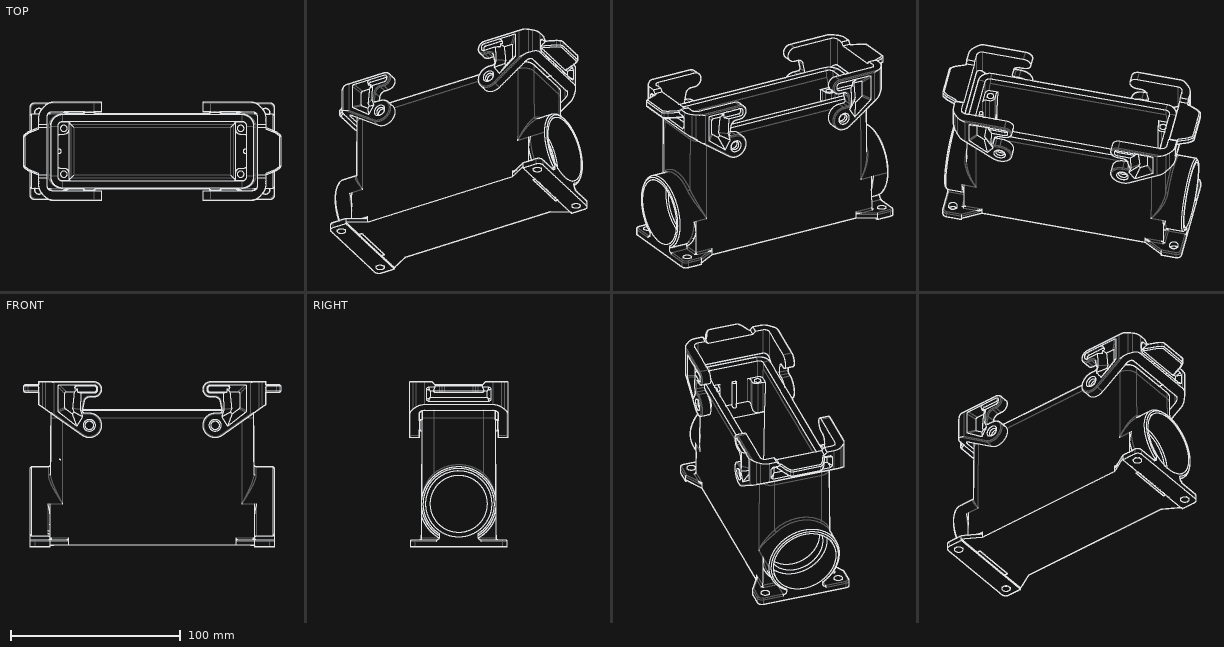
import cadquery as cq
import math

overall_length = 151.5
overall_width = 58.07

body_length = 120.4
body_width = 44.2
body_bottom = 1.0
draft = 0.4
draft_slope = math.tan(math.radians(draft))
lip_bottom = 75.7
corner_radius = 7.4
lip_straight_top = 80.2
lip_crown = 0.6
shrink = (lip_bottom - body_bottom) * draft_slope
lip_length = body_length - 2 * shrink
lip_width = body_width - 2 * shrink
lip_radius = corner_radius - shrink
wall = 4.1

opening_length = lip_length - 2 * wall
opening_width = lip_width - 2 * wall
opening_radius = lip_radius - wall
floor_z = 4.0
cavity_draft = 1.4
floor_fillet = 1.8
chamber_half_length = 48.9
shelf_edge_z = 47.5
shelf_slope = 36.0
chamber_end_run = 1.1

boss_top = 68.8
boss_hole_x = 52.0
boss_hole_y = 13.5
boss_hole_diameter = 3.8
boss_hole_depth = 15.0
boss_inner_x = 49.1
boss_inner_y = 10.0
boss_radius = 2.7
boss_root_fillet = 1.5
rib_radius = 1.3
rib_reach = 0.7

gland_end = 72.0
gland_z = 25.3
gland_radius = body_width / 2 - (gland_z - body_bottom) * draft_slope
gland_root = body_length / 2 - corner_radius
gland_fillet = 1.2
mouth_chamfer = 1.0
bore_radius = 19.5
bore_bottom_x = 56.0
inner_bore_radius = 16.8
inner_bore_bottom_x = 50.0

foot_half_width = 28.5
foot_thickness = 4.1
foot_radius = 2.9
foot_edge = 0.8
gusset_tip_x = 49.2
foot_hole_x = 66.6
foot_hole_y = 22.7
foot_hole_diameter = 5.0
neck_half_width = 11.2
neck_fillet = 2.0
root_fillet = 1.0

lever_top = 97.2
lever_outer_x = 66.8
lever_half_width = overall_width / 2
lever_leg = 5.8
lever_web = 4.9
lever_corner_cut = 6.0
lever_corner_blend = 7.24
lever_inner_radius = 3.0
lever_heel_z = 83.7
pivot_x = 37.0
pivot_z = 71.5
pivot_radius = 7.2
hook_x = 34.3
hook_radius = 4.5
hook_z = lever_top - hook_radius
lever_edge = 0.6
throat_round = 3.4
throat_foot_round = 1.3
throat_lean = 1.0
throat_x = 41.1
pin_radius = 3.4
pin_socket_radius = 2.5
pin_socket_depth = 3.0
countersink_radius = 3.5
pin_neck_radius = 2.6
pin_waist_width = 0.5

handle_end = overall_length / 2
handle_top = 95.4
handle_bottom = 90.8
handle_root_half_width = 15.0
handle_tip_half_width = 11.4
handle_shoulder_x = 73.0
handle_edge = 0.8
handle_corner_cut = 2.0
handle_tip_radius = 2.0
notch_half_width = 14.0
notch_slope = 1.7
web_pocket_half_width = 19.1
web_pocket_top = 94.1
web_pocket_bottom = 85.5
web_pocket_corner = 1.2
web_pocket_depth = 2.5
web_pocket_taper = 45.0

side_pocket_depth = 3.5
pocket_corner = 1.5
side_pocket_rim = [
    (-55.5, 79.6), (-55.5, 95.2), (-41.5, 95.2), (-42.3, 81.0), (-40.9, 76.5), (-44.4, 71.0),
]
side_pocket_floor = [
    (-51.5, 81.5), (-51.5, 91.2), (-45.8, 91.2), (-46.8, 81.4), (-46.0, 79.3), (-47.0, 78.2),
]
arm_pocket_depth = 2.0
arm_pocket_start_x = 46.0
arm_pocket_end_x = 32.2
arm_pocket_z = (90.5, 95.2)
arm_pocket_radius = 1.8
arm_pocket_taper = 15.0


def box(x_range, y_range, z_range):
    """Block filling the given X, Y and Z ranges."""
    (x0, x1), (y0, y1), (z0, z1) = x_range, y_range, z_range
    return cq.Workplane("XY").box(x1 - x0, y1 - y0, z1 - z0, centered=False).translate((x0, y0, z0))


def rod(radius, x0, x1):
    """Cylinder on the gland axis between two X positions."""
    return cq.Workplane("YZ", origin=(x0, 0, gland_z)).circle(radius).extrude(x1 - x0)


def both_ends(shape):
    """Shape together with its mirror image at the +X end."""
    return shape.union(shape.mirror("YZ"))


def both_sides(shape):
    """Shape together with its mirror image on the other Y side."""
    return shape.union(shape.mirror("XZ"))


def rounded_block(length, width, radius, z0, z1, taper=0.0):
    """Centred block with rounded vertical corners between two heights."""
    return (
        cq.Workplane("XY", origin=(0, 0, z0))
        .sketch().rect(length, width).vertices().fillet(radius).finalize()
        .extrude(z1 - z0, taper=taper)
    )


def make_rim():
    """Domed strip swept along the middle of the top of the lip."""
    end_x = (lip_length - wall) / 2
    side_y = (lip_width - wall) / 2
    radius = lip_radius - wall / 2
    inset = radius * (1 - math.sqrt(0.5))
    path = (
        cq.Workplane("XY", origin=(0, 0, lip_straight_top))
        .moveTo(0, -side_y).lineTo(end_x - radius, -side_y)
        .threePointArc((end_x - inset, -side_y + inset), (end_x, -side_y + radius))
        .lineTo(end_x, side_y - radius)
        .threePointArc((end_x - inset, side_y - inset), (end_x - radius, side_y))
        .lineTo(-end_x + radius, side_y)
        .threePointArc((-end_x + inset, side_y - inset), (-end_x, side_y - radius))
        .lineTo(-end_x, -side_y + radius)
        .threePointArc((-end_x + inset, -side_y + inset), (-end_x + radius, -side_y)).close()
    )
    profile = (
        cq.Workplane("YZ", origin=(0, -side_y, lip_straight_top))
        .moveTo(-wall / 2, 0).threePointArc((0, lip_crown), (wall / 2, 0)).close()
    )
    return profile.sweep(path)


def make_shell():
    """Solid outside of the housing: rounded above the gland axis, square-cornered below it."""
    drafted = rounded_block(body_length, body_width, corner_radius, body_bottom, lip_bottom, draft)
    base = (
        cq.Workplane("XY", origin=(0, 0, body_bottom))
        .rect(body_length, body_width).extrude(gland_z - body_bottom, taper=draft)
    )
    lip = rounded_block(lip_length, lip_width, lip_radius, lip_bottom, lip_straight_top)
    return drafted.union(base).union(lip)


def make_cavity():
    """Drafted opening: shallow over the sloped end shelves, deep between them."""
    top_z = lip_straight_top + wall
    end_x = opening_length / 2
    side_y = opening_width / 2
    shelf_outer_z = shelf_edge_z + (end_x - chamber_half_length) * math.tan(math.radians(shelf_slope))
    floor_x = chamber_half_length - chamber_end_run
    floor_y = side_y - (lip_bottom - floor_z) * math.tan(math.radians(cavity_draft))
    long_section = (
        cq.Workplane("XZ", origin=(0, side_y, 0))
        .moveTo(-floor_x, floor_z).lineTo(floor_x, floor_z)
        .lineTo(chamber_half_length, shelf_edge_z).lineTo(end_x, shelf_outer_z)
        .lineTo(end_x, top_z).lineTo(-end_x, top_z)
        .lineTo(-end_x, shelf_outer_z).lineTo(-chamber_half_length, shelf_edge_z).close()
        .extrude(opening_width)
    )
    cross_section = (
        cq.Workplane("YZ", origin=(-end_x, 0, 0))
        .moveTo(-floor_y, floor_z).lineTo(floor_y, floor_z)
        .lineTo(side_y, lip_bottom).lineTo(side_y, top_z)
        .lineTo(-side_y, top_z).lineTo(-side_y, lip_bottom).close()
        .extrude(opening_length)
    )
    plan = rounded_block(opening_length, opening_width, opening_radius, floor_z, top_z)
    return long_section.intersect(cross_section).faces("<Z").edges().fillet(floor_fillet).intersect(plan)


def make_bosses():
    """Screw bosses in the two -X corners and the rib on the end wall between them."""
    wall_x = opening_length / 2
    wall_y = opening_width / 2
    outer_x = wall_x + wall / 2
    outer_y = wall_y + wall / 2
    boss = (
        cq.Workplane("XY", origin=(0, 0, floor_z))
        .moveTo(-outer_x, -outer_y).lineTo(-boss_inner_x + boss_root_fillet, -outer_y)
        .lineTo(-boss_inner_x + boss_root_fillet, -wall_y)
        .radiusArc((-boss_inner_x, -wall_y + boss_root_fillet), boss_root_fillet)
        .lineTo(-boss_inner_x, -boss_inner_y - boss_radius)
        .radiusArc((-boss_inner_x - boss_radius, -boss_inner_y), -boss_radius)
        .lineTo(-wall_x + boss_root_fillet, -boss_inner_y)
        .radiusArc((-wall_x, -boss_inner_y + boss_root_fillet), boss_root_fillet)
        .lineTo(-outer_x, -boss_inner_y + boss_root_fillet).close()
        .extrude(boss_top - floor_z)
    )
    hole = (
        cq.Workplane("XY", origin=(-boss_hole_x, -boss_hole_y, boss_top))
        .circle(boss_hole_diameter / 2).extrude(-boss_hole_depth)
    )
    rib_x = opening_length / 2 - rib_reach
    rib = (
        cq.Workplane("XY", origin=(-rib_x, 0, shelf_edge_z))
        .circle(rib_radius).extrude(boss_top - shelf_edge_z)
    )
    return both_sides(boss.cut(hole)).union(rib)


def make_gland():
    """Barrel of the -X gland."""
    barrel = rod(gland_radius, -gland_end, -gland_root)
    return barrel.faces("<X").edges().chamfer(mouth_chamfer)


def add_glands(shell):
    """Join both glands to the shell and round the seam over their upper half."""
    joined = shell.union(both_ends(make_gland()))
    seam_height = 2 * gland_radius
    for side in (-1, 1):
        region = cq.selectors.BoxSelector(
            (side * gland_root, -body_width, gland_z + gland_fillet),
            (side * (body_length / 2 + gland_fillet), body_width, gland_z + seam_height),
        )
        seam = [edge for edge in joined.edges(region).vals() if edge.geomType() in ("BSPLINE", "ELLIPSE")]
        joined = joined.newObject(seam).fillet(gland_fillet)
    return joined.union(both_ends(make_lower_collar()))


def make_lower_collar():
    """Rounded seam between the lower half of the -X gland and the flat end wall."""
    wall_x = -body_length / 2
    inside = wall_x + wall / 2
    ring = (
        cq.Workplane("XY")
        .moveTo(wall_x - gland_fillet, gland_radius)
        .radiusArc((wall_x, gland_radius + gland_fillet), -gland_fillet)
        .lineTo(inside, gland_radius + gland_fillet).lineTo(inside, gland_radius - wall / 2)
        .lineTo(wall_x - gland_fillet, gland_radius - wall / 2).close()
        .revolve(360, (0, 0, 0), (1, 0, 0)).translate((0, 0, gland_z))
    )
    lower_half = box((-gland_end, -gland_root), (-gland_radius, gland_radius), (body_bottom, gland_z))
    return ring.intersect(lower_half)


def make_gland_bore():
    """Stepped blind bore of the -X gland."""
    return rod(bore_radius, -gland_end, -bore_bottom_x).union(
        rod(inner_bore_radius, -bore_bottom_x, -inner_bore_bottom_x)
    )


def make_gusset(top_z):
    """Tapering ear from the -Y end of the foot to the side wall."""
    body_x = body_length / 2
    root_y = -body_width / 2 + wall / 2
    return (
        cq.Workplane("XY", origin=(0, 0, body_bottom))
        .moveTo(-body_x, -foot_half_width).lineTo(-gusset_tip_x, -body_width / 2)
        .lineTo(-gusset_tip_x, root_y).lineTo(-body_x, root_y).close()
        .extrude(top_z - body_bottom)
    )


def fillet_strip(plane, origin, length):
    """Concave strip in the corner of a wall and the foot, extruded from the given plane."""
    return (
        cq.Workplane(plane, origin=origin)
        .moveTo(-root_fillet, 0).radiusArc((0, root_fillet), -root_fillet)
        .lineTo(root_fillet, root_fillet).lineTo(root_fillet, 0).close()
        .extrude(length)
    )


def make_root_fillets():
    """Rounded roots of the -X foot along the end wall and along both side walls."""
    draft_shift = (foot_thickness + root_fillet - body_bottom) * draft_slope
    body_x = body_length / 2 - draft_shift
    body_y = body_width / 2 - draft_shift
    along_end = fillet_strip("XZ", (-body_x, body_y, foot_thickness), body_width)
    along_side = fillet_strip("YZ", (-body_x, -body_y, foot_thickness), body_x - gusset_tip_x)
    clipped_side = along_side.intersect(make_gusset(foot_thickness + root_fillet))
    return along_end.union(both_sides(clipped_side))


def make_neck():
    """Web between the -X foot and the gland above it, flared onto the foot."""
    top_z = foot_thickness + neck_fillet
    spread = neck_half_width + neck_fillet
    return (
        cq.Workplane("YZ", origin=(-gland_end, 0, 0))
        .moveTo(-spread, foot_thickness).radiusArc((-neck_half_width, top_z), -neck_fillet)
        .lineTo(-neck_half_width, top_z + neck_fillet)
        .lineTo(neck_half_width, top_z + neck_fillet)
        .lineTo(neck_half_width, top_z).radiusArc((spread, foot_thickness), -neck_fillet)
        .lineTo(spread, foot_edge).lineTo(-spread, foot_edge).close()
        .extrude(gland_end - body_length / 2 + wall / 2)
    )


def make_foot():
    """Foot plate under the -X gland, with its ears, screw holes and neck."""
    plate = (
        box((-gland_end, -body_length / 2), (-foot_half_width, foot_half_width), (0, foot_thickness))
        .edges("|Z and <X").fillet(foot_radius)
    )
    root_x = -body_length / 2 + wall / 2
    root_y = body_width / 2
    root = box((-body_length / 2, root_x), (-root_y, root_y), (body_bottom, foot_thickness))
    plate = plate.union(both_sides(make_gusset(foot_thickness))).union(root)
    plate = plate.faces(">Z").edges().fillet(foot_edge)
    hole = (
        cq.Workplane("XY", origin=(-foot_hole_x, -foot_hole_y, 0))
        .circle(foot_hole_diameter / 2).extrude(foot_thickness)
    )
    return plate.cut(both_sides(hole)).union(make_root_fillets()).union(make_neck())


def lever_profile():
    """Side outline of a lever, extruded across its whole width."""
    heel_rise = lever_heel_z - pivot_z
    heel_run = lever_outer_x - pivot_x
    heel_distance = math.hypot(heel_rise, heel_run)
    tangent_angle = math.atan2(heel_rise, heel_run) - math.acos(pivot_radius / heel_distance)
    throat_top = hook_z - hook_radius
    pivot_top = pivot_z + pivot_radius
    under_heel = (
        -pivot_x - pivot_radius * math.cos(tangent_angle),
        pivot_z + pivot_radius * math.sin(tangent_angle),
    )
    throat_upper_x = -throat_x + throat_lean
    return (
        cq.Workplane("XZ", origin=(0, lever_half_width, 0))
        .moveTo(-lever_outer_x, lever_heel_z).lineTo(-lever_outer_x, lever_top).lineTo(-hook_x, lever_top)
        .threePointArc((-hook_x + hook_radius, hook_z), (-hook_x, throat_top))
        .lineTo(throat_upper_x + throat_round, throat_top)
        .radiusArc((throat_upper_x, throat_top - throat_round), -throat_round)
        .lineTo(-throat_x, pivot_top + throat_foot_round)
        .radiusArc((-throat_x + throat_foot_round, pivot_top), -throat_foot_round)
        .lineTo(-pivot_x, pivot_top)
        .threePointArc((-pivot_x + pivot_radius, pivot_z), under_heel)
        .close()
        .extrude(2 * lever_half_width)
        .faces("<Y or >Y").edges().fillet(lever_edge)
    )


def make_lever_bow():
    """U-shaped lever body around the -X end."""
    outer = (
        box((-lever_outer_x, 0), (-lever_half_width, lever_half_width), (0, lever_top))
        .edges("|Z and <X").chamfer(lever_corner_cut)
        .edges("|Z and (not >X)").fillet(lever_corner_blend)
    )
    inner_y = lever_half_width - lever_leg
    inner = (
        box((-lever_outer_x + lever_web, 0), (-inner_y, inner_y), (0, lever_top))
        .edges("|Z and <X").fillet(lever_inner_radius)
    )
    return lever_profile().intersect(outer.cut(inner))


def make_notch():
    """Shallow notch across the web, flush with the handle."""
    rise = lever_top - handle_top
    return (
        cq.Workplane("YZ", origin=(-lever_outer_x, 0, 0))
        .moveTo(-notch_half_width, handle_top).lineTo(notch_half_width, handle_top)
        .lineTo(notch_half_width + notch_slope, handle_top + rise)
        .lineTo(-notch_half_width - notch_slope, handle_top + rise).close()
        .extrude(lever_web)
    )


def make_web_pocket():
    """Sloped recess in the outer face of the web, under the handle."""
    middle_z = (web_pocket_top + web_pocket_bottom) / 2
    return (
        cq.Workplane("YZ", origin=(-lever_outer_x, 0, middle_z))
        .sketch().rect(2 * web_pocket_half_width, web_pocket_top - web_pocket_bottom)
        .vertices().chamfer(web_pocket_corner).finalize()
        .extrude(web_pocket_depth, taper=web_pocket_taper)
    )


def make_handle():
    """Tapered finger plate on the web of the -X lever."""
    root_x = lever_outer_x - lever_web / 2
    plate = (
        cq.Workplane("XY", origin=(0, 0, handle_bottom))
        .moveTo(-root_x, -handle_root_half_width).lineTo(-handle_shoulder_x, -handle_tip_half_width)
        .lineTo(-handle_end, -handle_tip_half_width + handle_corner_cut)
        .lineTo(-handle_end, handle_tip_half_width - handle_corner_cut)
        .lineTo(-handle_shoulder_x, handle_tip_half_width).lineTo(-root_x, handle_root_half_width).close()
        .extrude(handle_top - handle_bottom)
        .edges("|Z and <X").fillet(handle_tip_radius)
    )
    return plate.faces("|Z").edges("not(>X)").chamfer(handle_edge)


def make_side_pocket():
    """Sloped recess in the -Y leg, with a shallower branch running into the hook."""
    recess = (
        cq.Workplane("XZ", origin=(0, -lever_half_width, 0))
        .polyline(side_pocket_rim).close()
        .workplane(offset=-side_pocket_depth).polyline(side_pocket_floor).close()
        .loft(ruled=True)
    )
    selection_gap = pocket_corner / 10
    outer_corners = cq.selectors.BoxSelector(
        (-lever_outer_x, -lever_half_width + selection_gap, pivot_z),
        (side_pocket_floor[0][0] - selection_gap, 0, lever_top),
    )
    recess = recess.edges("not #Y").edges(outer_corners).fillet(pocket_corner)
    bottom_z, top_z = arm_pocket_z
    branch = (
        cq.Workplane(
            "XZ",
            origin=(-(arm_pocket_start_x + arm_pocket_end_x) / 2, -lever_half_width, (bottom_z + top_z) / 2),
        )
        .sketch().rect(arm_pocket_start_x - arm_pocket_end_x, top_z - bottom_z)
        .vertices().fillet(arm_pocket_radius).finalize()
        .extrude(-arm_pocket_depth, taper=arm_pocket_taper)
    )
    return recess.union(branch)


def make_pin():
    """Waisted hinge pin from the side wall into the -Y leg of a lever."""
    root_y = body_width / 2 - wall / 2
    leg_y = lever_half_width - lever_leg
    tip_y = leg_y + pin_waist_width
    pin = cq.Workplane("XZ", origin=(-pivot_x, -root_y, pivot_z)).circle(pin_radius).extrude(tip_y - root_y)
    groove = (
        cq.Workplane("XZ", origin=(-pivot_x, -leg_y + pin_waist_width, pivot_z))
        .circle(pin_radius).circle(pin_neck_radius).extrude(pin_waist_width)
    )
    return pin.cut(groove)


def make_pin_socket():
    """Countersunk blind hole in the outer face of the -Y leg."""
    sink_depth = countersink_radius - pin_socket_radius
    return (
        cq.Workplane("XY", origin=(-pivot_x, -lever_half_width, pivot_z))
        .lineTo(countersink_radius, 0).lineTo(pin_socket_radius, sink_depth)
        .lineTo(pin_socket_radius, pin_socket_depth).lineTo(0, pin_socket_depth).close()
        .revolve(360, (0, 0, 0), (0, 1, 0))
    )


def make_lever():
    """Complete lever at the -X end with its hinge pins."""
    lever = make_lever_bow().cut(make_notch()).cut(make_web_pocket()).union(make_handle())
    lever = lever.cut(both_sides(make_side_pocket()))
    return lever.union(both_sides(make_pin())).cut(both_sides(make_pin_socket()))


def make_housing():
    """Hollow housing with glands, feet and screw bosses."""
    outside = add_glands(make_shell()).union(both_ends(make_foot()))
    hollow = outside.union(make_rim()).cut(make_cavity()).union(both_ends(make_bosses()))
    return hollow.cut(both_ends(make_gland_bore()))


result = make_housing().union(both_ends(make_lever()))